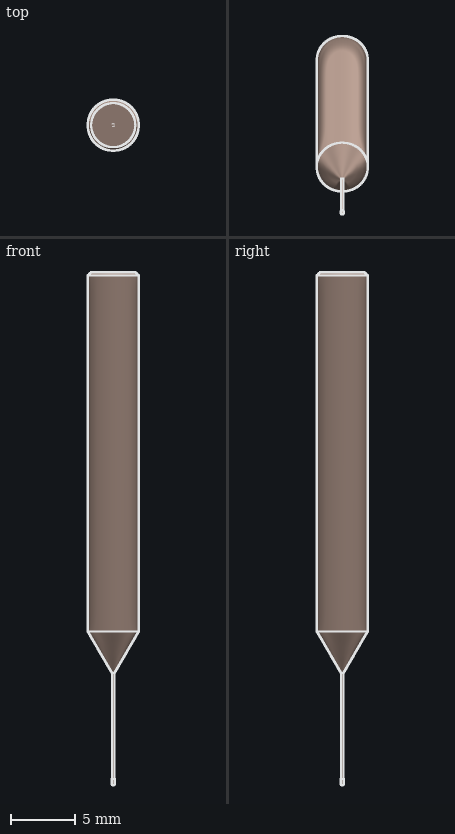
import cadquery as cq
import math

total_length = 40.0
tip_length = 0.5

shank_diameter = 4.0
top_chamfer = 0.3
shank_bottom = 12.0
cone_bottom = 8.75
neck_diameter = 0.22
tip_diameter = 0.25

shank_radius = shank_diameter / 2
neck_radius = neck_diameter / 2
tip_radius = tip_diameter / 2


def make_holder():
    """Chamfered shank, cone and thin neck, revolved about Z."""
    return (
        cq.Workplane("XZ")
        .moveTo(0, tip_length)
        .lineTo(neck_radius, tip_length)
        .lineTo(neck_radius, cone_bottom)
        .lineTo(shank_radius, shank_bottom)
        .lineTo(shank_radius, total_length - top_chamfer)
        .lineTo(shank_radius - top_chamfer, total_length)
        .lineTo(0, total_length)
        .close()
        .revolve(360, (0, 0, 0), (0, 1, 0))
    )


def make_cutting_tip():
    """Short cylindrical tip with a hemispherical end, meeting the end of the neck."""
    arc_middle = tip_radius * math.sin(math.radians(45))
    return (
        cq.Workplane("XZ")
        .moveTo(0, 0)
        .threePointArc((arc_middle, tip_radius - arc_middle), (tip_radius, tip_radius))
        .lineTo(tip_radius, tip_length)
        .lineTo(0, tip_length)
        .close()
        .revolve(360, (0, 0, 0), (0, 1, 0))
    )


holder = make_holder()
cutting_tip = make_cutting_tip()

result = cq.Compound.makeCompound([holder.val(), cutting_tip.val()])